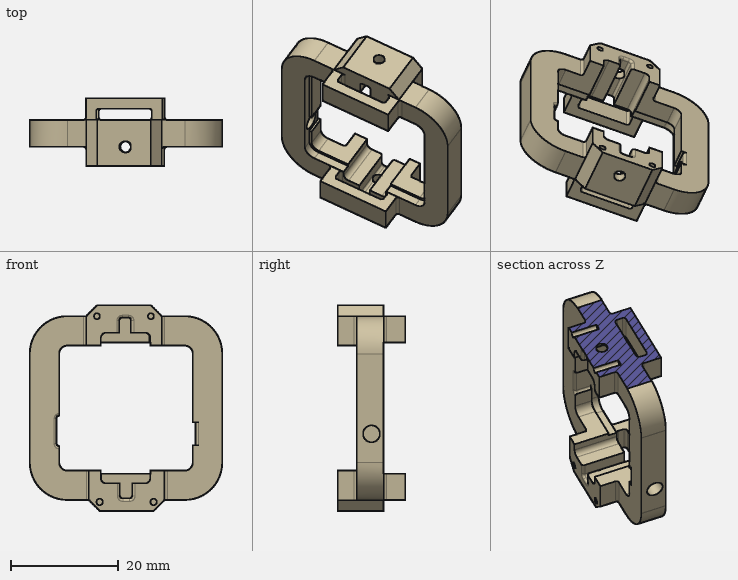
import cadquery as cq

WIDTH = 35.7
HEIGHT = 38.15
DEPTH = 12.6
EDGE_RADIUS = 0.5

BLOCK_RISE = 2.02
RING_HEIGHT = HEIGHT - 2 * BLOCK_RISE
RING_BAR = 5.5
RING_OUTER_RADIUS = 7.0
RING_INNER_RADIUS = RING_OUTER_RADIUS - RING_BAR
RING_DEPTH = 5.0
OPENING_WIDTH = WIDTH - 2 * RING_BAR
OPENING_HEIGHT = RING_HEIGHT - 2 * RING_BAR
RABBET_STEP = 0.5
RABBET_DEPTH = 1.6

BLOCK_WIDTH = 14.0
BLOCK_OVERHANG = 3.55
BLOCK_FRONT = -DEPTH / 2
RING_FRONT = BLOCK_FRONT + BLOCK_OVERHANG
RING_BACK = RING_FRONT + RING_DEPTH

STRAP_WIDTH = 14.1
STRAP_BACK = DEPTH / 2
STRAP_BACK_WALL = 2.0
STRAP_SIDE_WALL = 1.9
STRAP_HEIGHT = 4.92

CHANNEL_WIDTH = 9.15
CHANNEL_X = -0.08
CHANNEL_DEPTH = 2.4
CHANNEL_RADIUS = 1.0
SLOT_DEPTH = 5.2

CROSS_HOLE_DIAMETER = 2.05
PIN_SPACING = 10.0
PIN_HOLE_DEPTH = 5.0
LEG_HOLE_DIAMETER = 3.13
LEG_HOLE_SETBACK = 2.75

RECESS_DEPTH = RABBET_STEP
RIGHT_RECESS_HEIGHT = 4.2
RIGHT_RECESS_Z = -4.75
LEFT_RECESS_HEIGHT = 5.6
LEFT_RECESS_Z = -4.25

TOP = dict(side=1, block_x=-0.4, slot_x=-0.15, slot_width=2.15, pin_diameter=1.1, pin_inset=2.05)
BOTTOM = dict(side=-1, block_x=0.1, slot_x=0.0, slot_width=2.25, pin_diameter=1.2, pin_inset=1.68)

SELECT_MARGIN = 0.05


def box(x, y, z):
    """Box from the (low, high) ranges along the three axes."""
    size = [high - low for low, high in (x, y, z)]
    return cq.Workplane("XY").box(*size, centered=False).translate((x[0], y[0], z[0]))


def span(centre, length):
    return centre - length / 2, centre + length / 2


def end_span(end, low, high):
    """Z range at an end, from two distances above or below the middle."""
    return tuple(sorted((end["side"] * low, end["side"] * high)))


def rounded_prism(width, height, radius, y_range):
    prism = box(span(0, width), y_range, span(0, height))
    return prism.edges("|Y").fillet(radius)


def round_edges(body, x, y, z):
    """Round the edges whose centres lie within the ranges, widened by a small margin."""
    ranges = (x, y, z)
    low = [r[0] - SELECT_MARGIN for r in ranges]
    high = [r[1] + SELECT_MARGIN for r in ranges]
    return body.edges(cq.selectors.BoxSelector(low, high)).fillet(EDGE_RADIUS)


def block_solid(end):
    z = end_span(end, OPENING_HEIGHT / 2, HEIGHT / 2)
    block = box(span(end["block_x"], BLOCK_WIDTH), (BLOCK_FRONT, RING_BACK), z)
    outer_face = ">Z" if end["side"] > 0 else "<Z"
    return block.faces(outer_face).edges("|Y").chamfer(BLOCK_RISE)


def strap_solid(end):
    z = end_span(end, RING_HEIGHT / 2 - STRAP_HEIGHT, RING_HEIGHT / 2)
    strap = box(span(end["block_x"], STRAP_WIDTH), (RING_BACK, STRAP_BACK), z)
    loop_width = STRAP_WIDTH - 2 * STRAP_SIDE_WALL
    loop = box(span(end["block_x"], loop_width), (RING_BACK, STRAP_BACK - STRAP_BACK_WALL), z)
    return strap.cut(loop.edges("|Z").fillet(EDGE_RADIUS))


def round_joints(body, end):
    """Inner rounds where the sides of the block and the strap meet the ring."""
    z = end_span(end, OPENING_HEIGHT / 2, RING_HEIGHT / 2)
    for width, y in ((BLOCK_WIDTH, RING_FRONT), (STRAP_WIDTH, RING_BACK)):
        for x in span(end["block_x"], width):
            body = round_edges(body, (x, x), (y, y), z)
    return body


def cut_channel(body, end):
    """Wide channel and deeper slot through the block, with the front rim of the slot rounded."""
    floor = OPENING_HEIGHT / 2 + CHANNEL_DEPTH
    slot_floor = OPENING_HEIGHT / 2 + SLOT_DEPTH
    y = (BLOCK_FRONT, RING_BACK)
    floor_face = ">Z" if end["side"] > 0 else "<Z"

    channel = box(span(CHANNEL_X, CHANNEL_WIDTH), y, end_span(end, 0, floor))
    channel = channel.faces(floor_face).edges("|Y").fillet(CHANNEL_RADIUS)
    slot_x = span(end["slot_x"], end["slot_width"])
    slot = box(slot_x, y, end_span(end, 0, slot_floor))
    slot = slot.faces(floor_face).edges("|Y").fillet(EDGE_RADIUS)
    body = body.cut(channel).cut(slot)
    rim_z = end_span(end, floor + EDGE_RADIUS, slot_floor)
    return round_edges(body, slot_x, (BLOCK_FRONT, BLOCK_FRONT), rim_z)


def cut_end_holes(body, end):
    """Cross hole into the slot, and two blind pin holes in the front of the block."""
    z = end_span(end, OPENING_HEIGHT / 2, HEIGHT / 2)
    cross_hole = (
        cq.Workplane("XY", origin=(end["slot_x"], RING_FRONT, z[0]))
        .circle(CROSS_HOLE_DIAMETER / 2)
        .extrude(z[1] - z[0])
    )
    pin_z = end["side"] * (HEIGHT / 2 - end["pin_inset"])
    pins = (
        cq.Workplane("XZ", origin=(end["block_x"], BLOCK_FRONT, pin_z))
        .pushPoints([(x, 0) for x in span(0, PIN_SPACING)])
        .circle(end["pin_diameter"] / 2)
        .extrude(-PIN_HOLE_DEPTH)
    )
    return body.cut(cross_hole).cut(pins)


def cut_right_recess(body):
    """Square-ended recess with a rounded front edge, and a round hole through the leg."""
    wall = OPENING_WIDTH / 2
    floor = wall + RECESS_DEPTH
    z = span(RIGHT_RECESS_Z, RIGHT_RECESS_HEIGHT)
    body = body.cut(box((0, floor), (RING_FRONT, RING_BACK), z))
    body = round_edges(body, (floor, floor), (RING_FRONT, RING_FRONT), z)
    hole = (
        cq.Workplane("YZ", origin=(wall, RING_FRONT + LEG_HOLE_SETBACK, RIGHT_RECESS_Z))
        .circle(LEG_HOLE_DIAMETER / 2)
        .extrude(RING_BAR)
    )
    return body.cut(hole)


def cut_left_recess(body):
    """Round-ended recess with a rounded front rim."""
    wall = -OPENING_WIDTH / 2
    floor = wall - RECESS_DEPTH
    z = span(LEFT_RECESS_Z, LEFT_RECESS_HEIGHT)
    recess = box((floor, 0), (RING_FRONT, RING_BACK), z)
    recess = recess.faces("<X").edges("|Y").fillet(EDGE_RADIUS)
    body = body.cut(recess)
    rim_x = (floor, wall - EDGE_RADIUS / 4)
    return round_edges(body, rim_x, (RING_FRONT, RING_FRONT), z)


ring_range = (RING_FRONT, RING_BACK)

body = rounded_prism(WIDTH, RING_HEIGHT, RING_OUTER_RADIUS, ring_range)
for end in (TOP, BOTTOM):
    body = body.union(block_solid(end)).union(strap_solid(end))

body = body.cut(rounded_prism(OPENING_WIDTH, OPENING_HEIGHT, RING_INNER_RADIUS, ring_range))
body = body.cut(
    rounded_prism(
        OPENING_WIDTH + 2 * RABBET_STEP,
        OPENING_HEIGHT + 2 * RABBET_STEP,
        RING_INNER_RADIUS + RABBET_STEP,
        (RING_BACK - RABBET_DEPTH, RING_BACK),
    )
)

for end in (TOP, BOTTOM):
    body = round_joints(body, end)
    body = cut_channel(body, end)
    body = cut_end_holes(body, end)
body = cut_right_recess(body)
result = cut_left_recess(body)